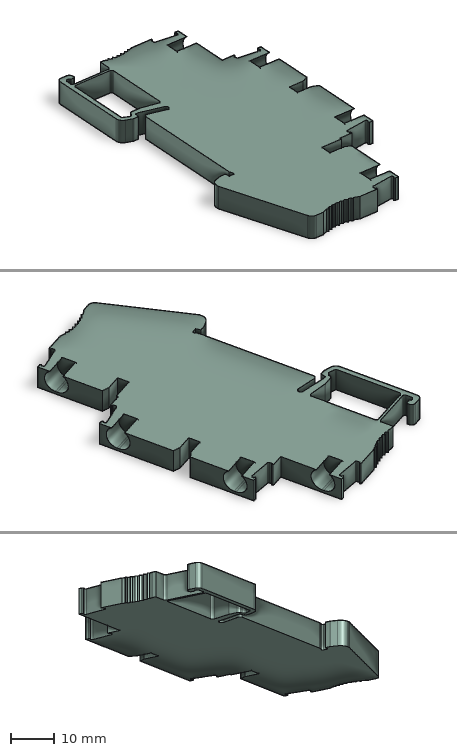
import cadquery as cq
import math

LENGTH = 83.6
HEIGHT = 45.8
THICKNESS = 6.2

LOWER_TOP = 35.2
UPPER_LEFT = 17.4
UPPER_RIGHT = 60.95
BASE_Y = 12.6
RAIL_Y = 5.9
LOWER_LEFT_INSET = 0.3

LIP_INSET = 1.1
LIP_DROP = 0.9
NECK_INSET = 2.3
NECK_FOOT_INSET = 1.5
NECK_FOOT_DROP = 7.4
SHOULDER_DROP = 7.1
SHOULDER_RIM = 0.4
LIP_BARB_WIDTH = 0.6
LIP_BARB_HEIGHT = 0.3
LIP_BARB_TIP = 0.25
NECK_FILLET = 0.3

CHANNEL_INSET = 6.1
CHANNEL_LENGTH = 5.85
CHANNEL_RADIUS = 2.9
CHANNEL_OPENING = 3.5
CHANNEL_FLAT = 0.5

NOTCH_WIDTH = 3.0
NOTCH_DEPTH = 5.85
FLARE_WIDTH = 0.75
FLARE_DEPTH = 1.75
UPPER_NOTCH_LEFT = 36.3
LOWER_NOTCH_LEFT = 61.45

GRIP_RADIUS = 12.5
GRIP_Y = 17.4
GRIP_DEPTH_LEFT = 0.9
GRIP_DEPTH_RIGHT = 1.25
RIB_PITCH = 1.25
RIB_HEIGHT = 0.4
RIB_WIDTH = 0.7

FOOT_THICKNESS = 1.3
POST_LEFT = 3.9
POST_WIDTH = 0.7
POST_FILLET = 0.6
HOOK_HEIGHT = 3.85
HOOK_WIDTH = 1.8
HOOK_NECK = 1.4
HOOK_HEAD_BOTTOM = 2.3
HOOK_ROUND = 1.1
HOOK_HEAD_SLOPE = 0.25
HOOK_HEAD_ROUND = 0.4
HOOK_NECK_ROUND = 0.5
LATCH_X = 24.3
LATCH_Y = 4.6
CATCH_SLOPE = 0.25
CATCH_DEPTH = 1.25
CATCH_NOSE_Y = 3.2
CATCH_NOSE_ROUND = 0.7
CATCH_TAPER = 1.2
FOOT_CORNER_ROUND = 2.0

ARM_TOP_X = 22.8
ARM_KINK_X = 21.65
ARM_KINK_TOP = 7.1
ARM_KINK_BOTTOM = 4.3
ARM_KINK_ROUND = 0.75
LATCH_HOLLOW_X = 23.1
LATCH_HOLLOW_Y = 3.3
LATCH_HOLLOW_ROUND = 0.4
LATCH_STEP_X = 22.6
LATCH_STEP_Y = 3.9
WINDOW_CORNER_X = 22.15
WINDOW_SMALL_ROUND = 0.25

SLOT_BOTTOM_X = 23.0
SLOT_BOTTOM_Y = 5.6
SLOT_WIDTH = 1.5
SLOT_ANGLE = 15
SLOT_ROUND = 0.7

FIXED_X = 56.4
FIXED_BOTTOM_LEFT = 57.35
FIXED_BOTTOM_RIGHT = 59.4
SLANT_END_Y = 8.6
GROOVE_TOP = 6.4
GROOVE_LEAD_IN = 0.25
GROOVE_ROUND = 0.3
SLANT_END_ROUND = 1.75


def rounded_plate(corners):
    """Extrude a closed outline of (x, y) or (x, y, radius) corners through the thickness."""
    count = len(corners)
    path = None
    for i, corner in enumerate(corners):
        here = cq.Vector(*corner[:2])
        radius = corner[2] if len(corner) == 3 else 0
        if radius:
            to_previous = (cq.Vector(*corners[i - 1][:2]) - here).normalized()
            to_next = (cq.Vector(*corners[(i + 1) % count][:2]) - here).normalized()
            half_angle = to_previous.getAngle(to_next) / 2
            setback = radius / math.tan(half_angle)
            bisector = (to_previous + to_next).normalized()
            middle = here + bisector * (radius / math.sin(half_angle) - radius)
            start = here + to_previous * setback
            end = here + to_next * setback
        else:
            start = here
        if path is None:
            path = cq.Workplane("XY").moveTo(start.x, start.y)
        else:
            path = path.lineTo(start.x, start.y)
        if radius:
            path = path.threePointArc((middle.x, middle.y), (end.x, end.y))
    return path.close().extrude(THICKNESS)


def block(x_min, x_max, y_min, y_max):
    return rounded_plate([(x_min, y_min), (x_max, y_min), (x_max, y_max), (x_min, y_max)])


def slot_wall_x(y):
    """X of the left wall of the slanted slot at height y."""
    return SLOT_BOTTOM_X + (y - SLOT_BOTTOM_Y) * math.tan(math.radians(SLOT_ANGLE))


def lower_stage():
    """Wide stage with the hooked spring foot, slanted slot, rail gap and fixed foot."""
    spring_foot = [
        (0, BASE_Y),
        (POST_LEFT, BASE_Y, POST_FILLET),
        (POST_LEFT, FOOT_THICKNESS, POST_FILLET),
        (HOOK_NECK, FOOT_THICKNESS, HOOK_NECK_ROUND),
        (HOOK_NECK, HOOK_HEAD_BOTTOM),
        (HOOK_WIDTH, HOOK_HEAD_BOTTOM + HOOK_HEAD_SLOPE),
        (HOOK_WIDTH, HOOK_HEIGHT, HOOK_HEAD_ROUND),
        (0, HOOK_HEIGHT, HOOK_ROUND),
        (0, 0, HOOK_ROUND),
        (LATCH_X - CATCH_TAPER, 0, FOOT_CORNER_ROUND),
        (LATCH_X, CATCH_NOSE_Y, CATCH_NOSE_ROUND),
        (LATCH_X, LATCH_Y),
    ]
    slot = [
        (SLOT_BOTTOM_X, LATCH_Y + CATCH_SLOPE),
        (SLOT_BOTTOM_X, SLOT_BOTTOM_Y),
        (slot_wall_x(BASE_Y), BASE_Y, SLOT_ROUND),
        (slot_wall_x(BASE_Y) + SLOT_WIDTH, BASE_Y, SLOT_ROUND),
        (slot_wall_x(RAIL_Y) + SLOT_WIDTH, RAIL_Y, SLOT_ROUND),
    ]
    fixed_foot = [
        (FIXED_X - GROOVE_LEAD_IN, RAIL_Y),
        (FIXED_X + CATCH_DEPTH, GROOVE_TOP, GROOVE_ROUND),
        (FIXED_X + CATCH_DEPTH, LATCH_Y + CATCH_SLOPE),
        (FIXED_X, LATCH_Y),
        (FIXED_X, CATCH_NOSE_Y, CATCH_NOSE_ROUND),
        (FIXED_BOTTOM_LEFT, 0, FOOT_CORNER_ROUND),
        (FIXED_BOTTOM_RIGHT, 0),
        (LENGTH, SLANT_END_Y, SLANT_END_ROUND),
    ]
    top = [(LENGTH, LOWER_TOP), (0, LOWER_TOP)]
    return rounded_plate(spring_foot + slot + fixed_foot + top)


def foot_window():
    """Opening between the post, the foot bar and the spring arm."""
    left = POST_LEFT + POST_WIDTH
    return rounded_plate([
        (left, BASE_Y, POST_FILLET),
        (left, FOOT_THICKNESS, POST_FILLET),
        (WINDOW_CORNER_X, FOOT_THICKNESS, WINDOW_SMALL_ROUND),
        (LATCH_HOLLOW_X, LATCH_HOLLOW_Y, LATCH_HOLLOW_ROUND),
        (LATCH_STEP_X, LATCH_STEP_Y, WINDOW_SMALL_ROUND),
        (ARM_KINK_X, ARM_KINK_BOTTOM, ARM_KINK_ROUND),
        (ARM_KINK_X, ARM_KINK_TOP, ARM_KINK_ROUND),
        (ARM_TOP_X, BASE_Y, POST_FILLET),
    ])


def stage_end(outer_x, top_y, inward):
    """Cutter that leaves a hooked lip, a tapered neck and a rimmed shoulder."""
    profile = [
        (0, 0),
        (LIP_INSET, 0),
        (LIP_INSET, LIP_DROP),
        (LIP_INSET + LIP_BARB_TIP, LIP_DROP + LIP_BARB_HEIGHT),
        (LIP_INSET + LIP_BARB_WIDTH, LIP_DROP),
        (NECK_INSET, LIP_DROP, NECK_FILLET),
        (NECK_FOOT_INSET, NECK_FOOT_DROP, NECK_FILLET),
        (SHOULDER_RIM, NECK_FOOT_DROP),
        (SHOULDER_RIM, SHOULDER_DROP),
        (0, SHOULDER_DROP),
    ]
    corners = [(outer_x + inward * x, top_y - drop, *r) for x, drop, *r in profile]
    return rounded_plate(corners)


def wire_channel(center_x, top_y):
    """Round channel along Y, open at the stage top and through the upper face."""
    half_flat = CHANNEL_FLAT / 2
    half_opening = CHANNEL_OPENING / 2 - half_flat
    center_z = THICKNESS - math.sqrt(CHANNEL_RADIUS**2 - half_opening**2)
    return (
        cq.Workplane("XZ", origin=(center_x, top_y, 0))
        .moveTo(-half_flat, center_z - CHANNEL_RADIUS)
        .lineTo(half_flat, center_z - CHANNEL_RADIUS)
        .threePointArc((half_flat + CHANNEL_RADIUS, center_z), (half_flat, center_z + CHANNEL_RADIUS))
        .lineTo(-half_flat, center_z + CHANNEL_RADIUS)
        .threePointArc((-half_flat - CHANNEL_RADIUS, center_z), (-half_flat, center_z - CHANNEL_RADIUS))
        .close()
        .extrude(CHANNEL_LENGTH)
    )


def notch(left, top_y, left_flare):
    """Square-bottomed notch, flared at the right and optionally at the left."""
    right = left + NOTCH_WIDTH
    return rounded_plate([
        (left, top_y - NOTCH_DEPTH),
        (right, top_y - NOTCH_DEPTH),
        (right, top_y - FLARE_DEPTH),
        (right + FLARE_WIDTH, top_y),
        (left - left_flare, top_y),
        (left, top_y - FLARE_DEPTH),
    ])


def grip(deepest_x, inward, rib_numbers):
    """Concave cutter with V-shaped ribs left standing on its surface."""
    center_x = deepest_x - inward * GRIP_RADIUS
    cutter = cq.Workplane("XY").center(center_x, GRIP_Y).circle(GRIP_RADIUS).extrude(THICKNESS)
    tip = GRIP_RADIUS - RIB_HEIGHT
    root = GRIP_RADIUS + RIB_HEIGHT
    for number in rib_numbers:
        angle = math.degrees(number * RIB_PITCH / GRIP_RADIUS)
        rib = (
            rounded_plate([(inward * tip, 0), (inward * root, -RIB_WIDTH), (inward * root, RIB_WIDTH)])
            .rotate((0, 0, 0), (0, 0, 1), inward * angle)
            .translate((center_x, GRIP_Y, 0))
        )
        cutter = cutter.cut(rib)
    return cutter


result = lower_stage().cut(foot_window())
result = result.union(block(UPPER_LEFT, UPPER_RIGHT, LOWER_TOP, HEIGHT))

setback_height = math.sqrt(GRIP_RADIUS**2 - (GRIP_RADIUS - GRIP_DEPTH_LEFT + LOWER_LEFT_INSET) ** 2)
result = result.cut(block(0, LOWER_LEFT_INSET, BASE_Y, GRIP_Y - setback_height))
result = result.cut(grip(GRIP_DEPTH_LEFT, 1, range(-2, 4)))
result = result.cut(grip(LENGTH - GRIP_DEPTH_RIGHT, -1, range(-3, 4)))

for left_x, right_x, top_y in [(0, LENGTH, LOWER_TOP), (UPPER_LEFT, UPPER_RIGHT, HEIGHT)]:
    for outer_x, inward in [(left_x, 1), (right_x, -1)]:
        result = result.cut(stage_end(outer_x, top_y, inward))
        result = result.cut(wire_channel(outer_x + inward * CHANNEL_INSET, top_y))

result = result.cut(notch(UPPER_NOTCH_LEFT, HEIGHT, FLARE_WIDTH))
result = result.cut(notch(LOWER_NOTCH_LEFT, LOWER_TOP, 0))